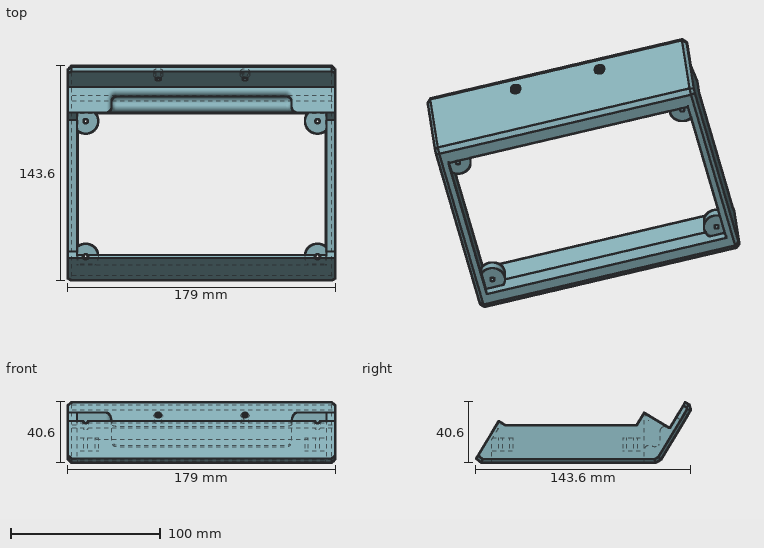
import cadquery as cq
import math

WIDTH = 179.0
DEPTH = 143.63
HEIGHT = 40.6
LEAN = math.radians(31.0)
SIN = math.sin(LEAN)
COS = math.cos(LEAN)
TAN = math.tan(LEAN)

FRONT_TIP_Z = 2.95
FRONT_BEVEL_RUN = 3.4
FRONT_RIM_Z = 28.0
FRONT_RIM_Y = (FRONT_RIM_Z - FRONT_TIP_Z) * TAN
WALL_TOP_Z = 25.35
RIDGE_Y = 112.3
RIDGE_Z = 33.6
PLATE_THICKNESS = 6.0
CHAMFER = 2.5

BOSS_SPACING_X = 155.0
BOSS_FRONT_Y = 16.15
BOSS_REAR_Y = 106.55
BOSS_RADIUS = 8.5
BOSS_BASE_Z = 8.0
BOSS_TOP_Z = 16.75
BOSS_HOLE_DIAMETER = 2.75
SCREW_CLEARANCE_DIAMETER = 4.0

SIDE_WALL = 6.1
RIM_INNER_Y = 17.1
OPENING_FRONT_Y = BOSS_FRONT_Y - (RIDGE_Y - BOSS_REAR_Y)
SIDE_LIP_WIDTH = 0.7
SIDE_LIP_HEIGHT = 4.3
REAR_LIP_WIDTH = 0.7
REAR_LIP_HEIGHT = 1.2

PLATE_HOLE_SPACING = 58.0
PLATE_HOLE_Z = 32.1
PLATE_HOLE_DIAMETER = 3.5
PLATE_HOLE_DEPTH = 3.0
COUNTERBORE_DIAMETER = 6.5

RECESS_WIDTH = 120.5
RECESS_BACK_Y = 122.95
RECESS_FLOOR_FRONT_Z = 14.5
RECESS_FILLET = 3.5

plate_top_y = DEPTH - PLATE_THICKNESS * COS + CHAMFER * SIN
plate_foot_y = plate_top_y - HEIGHT * TAN
rear_foot_y = plate_foot_y + PLATE_THICKNESS / COS

valley_y = (plate_foot_y + (RIDGE_Z + RIDGE_Y * TAN) * TAN) / (1 + TAN**2)
valley_z = (valley_y - plate_foot_y) / TAN


def plate_point(across, down):
    """Profile point measured from the plate's top front corner, across and down the plate."""
    y = plate_top_y + across * COS - down * SIN
    z = HEIGHT - across * SIN - down * COS
    return (y, z)


def make_body():
    """Full-width extrusion of the side profile with its outer side edges chamfered."""
    plain_outline = [
        (0, FRONT_TIP_Z),
        (FRONT_RIM_Y, FRONT_RIM_Z),
        (FRONT_RIM_Y + (FRONT_RIM_Z - WALL_TOP_Z) / TAN, WALL_TOP_Z),
        (RIDGE_Y - (RIDGE_Z - WALL_TOP_Z) * TAN, WALL_TOP_Z),
        (RIDGE_Y, RIDGE_Z),
        (valley_y, valley_z),
    ]
    chamfered_outline = [
        plate_point(0, 0),
        plate_point(PLATE_THICKNESS - CHAMFER, 0),
        plate_point(PLATE_THICKNESS, CHAMFER),
        (rear_foot_y + CHAMFER * SIN, CHAMFER * COS),
        (rear_foot_y - CHAMFER, 0),
        (FRONT_BEVEL_RUN, 0),
        (0, FRONT_TIP_Z),
    ]
    profile = plain_outline + chamfered_outline[:-1]
    body = cq.Workplane("YZ").polyline(profile).close().extrude(WIDTH / 2, both=True)
    side_edges = cq.Workplane()
    for start, end in zip(chamfered_outline, chamfered_outline[1:]):
        middle_y = (start[0] + end[0]) / 2
        middle_z = (start[1] + end[1]) / 2
        for x in (-WIDTH / 2, WIDTH / 2):
            nearest = cq.selectors.NearestToPointSelector((x, middle_y, middle_z))
            side_edges = side_edges.add(body.edges(nearest))
    return body.newObject(side_edges.vals()).chamfer(CHAMFER)


def make_straight_opening():
    """Cutter for the opening without lips; its front wall is vertical, then leans up to the rim."""
    half_x = WIDTH / 2 - SIDE_WALL
    rim_inner_z = FRONT_RIM_Z - (RIM_INNER_Y - FRONT_RIM_Y) * TAN
    outline = [
        (OPENING_FRONT_Y, 0),
        (OPENING_FRONT_Y, rim_inner_z - (RIM_INNER_Y - OPENING_FRONT_Y) / TAN),
        (RIM_INNER_Y, rim_inner_z),
        (RIM_INNER_Y, HEIGHT),
        (RIDGE_Y, HEIGHT),
        (RIDGE_Y, 0),
    ]
    return cq.Workplane("YZ").polyline(outline).close().extrude(half_x, both=True)


def make_opening():
    """Cutter for the opening with the side and rear lips left out of it."""
    half_x = WIDTH / 2 - SIDE_WALL
    length_y = RIDGE_Y - OPENING_FRONT_Y
    cutter = make_straight_opening()
    for side in (-1, 1):
        outline = [
            (side * half_x, 0),
            (side * (half_x - SIDE_LIP_WIDTH), 0),
            (side * half_x, SIDE_LIP_HEIGHT),
        ]
        at_rear_wall = cq.Workplane("XZ", origin=(0, RIDGE_Y, 0))
        side_lip = at_rear_wall.polyline(outline).close().extrude(length_y)
        cutter = cutter.cut(side_lip)
    outline = [(RIDGE_Y, 0), (RIDGE_Y - REAR_LIP_WIDTH, 0), (RIDGE_Y, REAR_LIP_HEIGHT)]
    rear_lip = cq.Workplane("YZ").polyline(outline).close().extrude(half_x, both=True)
    return cutter.cut(rear_lip)


def make_recess():
    """Cutter for the finger recess, open at the front and top, with its inner corners rounded."""
    front_y = RIDGE_Y - RECESS_FILLET
    floor_front_z = RECESS_FLOOR_FRONT_Z + RECESS_FILLET * TAN
    floor_back_z = RECESS_FLOOR_FRONT_Z - (RECESS_BACK_Y - RIDGE_Y) * TAN
    outline = [
        (front_y, floor_front_z),
        (RECESS_BACK_Y, floor_back_z),
        (RECESS_BACK_Y, 2 * HEIGHT),
        (front_y, 2 * HEIGHT),
    ]
    cutter = cq.Workplane("YZ").polyline(outline).close().extrude(RECESS_WIDTH / 2, both=True)
    floor_corners = cutter.faces("<Z").edges("not(<Y)")
    back_corners = cutter.edges("|Z and >Y")
    return cutter.newObject(floor_corners.vals() + back_corners.vals()).fillet(RECESS_FILLET)


def round_recess_rim(body):
    """Round the recess edges that lie on the ledge and on the rear wall of the opening."""
    margin = 0.1
    region = cq.selectors.BoxSelector(
        (-RECESS_WIDTH / 2 - margin, RIDGE_Y - margin, REAR_LIP_HEIGHT + margin),
        (RECESS_WIDTH / 2 + margin, RECESS_BACK_Y + margin, HEIGHT),
    )
    rim_edges = []
    for edge in body.edges(region).vals():
        middle = edge.positionAt(0.5)
        ledge_z = RIDGE_Z - (middle.y - RIDGE_Y) * TAN
        on_ledge = abs(middle.z - ledge_z) < margin
        on_rear_wall = abs(middle.y - RIDGE_Y) < margin
        if on_ledge or on_rear_wall:
            rim_edges.append(edge)
    return body.newObject(rim_edges).fillet(RECESS_FILLET)


def add_bosses(body):
    """Add the corner bosses, each with a screw hole and clearance above it for the screw."""
    boss_height = BOSS_TOP_Z - BOSS_BASE_Z
    opening = make_straight_opening()
    for x in (-BOSS_SPACING_X / 2, BOSS_SPACING_X / 2):
        for y in (BOSS_FRONT_Y, BOSS_REAR_Y):
            at_base = cq.Workplane("XY", origin=(x, y, BOSS_BASE_Z))
            boss = at_base.circle(BOSS_RADIUS).extrude(boss_height).intersect(opening)
            hole = at_base.circle(BOSS_HOLE_DIAMETER / 2).extrude(boss_height)
            at_top = cq.Workplane("XY", origin=(x, y, BOSS_TOP_Z))
            clearance = at_top.circle(SCREW_CLEARANCE_DIAMETER / 2).extrude(HEIGHT)
            body = body.union(boss).cut(hole).cut(clearance)
    return body


def cut_plate_holes(body):
    """Drill the plate square to its faces and counterbore the holes from the rear."""
    hole_y = plate_foot_y + PLATE_HOLE_Z * TAN
    axis = cq.Vector(0, COS, -SIN)
    for x in (-PLATE_HOLE_SPACING / 2, PLATE_HOLE_SPACING / 2):
        entry = cq.Vector(x, hole_y, PLATE_HOLE_Z)
        hole = cq.Solid.makeCylinder(PLATE_HOLE_DIAMETER / 2, PLATE_THICKNESS, entry, axis)
        seat = entry + axis * PLATE_HOLE_DEPTH
        counterbore = cq.Solid.makeCylinder(COUNTERBORE_DIAMETER / 2, PLATE_THICKNESS, seat, axis)
        body = body.cut(cq.Workplane(hole)).cut(cq.Workplane(counterbore))
    return body


frame = make_body().cut(make_opening()).cut(make_recess())
frame = round_recess_rim(frame)
frame = add_bosses(frame)
result = cut_plate_holes(frame)